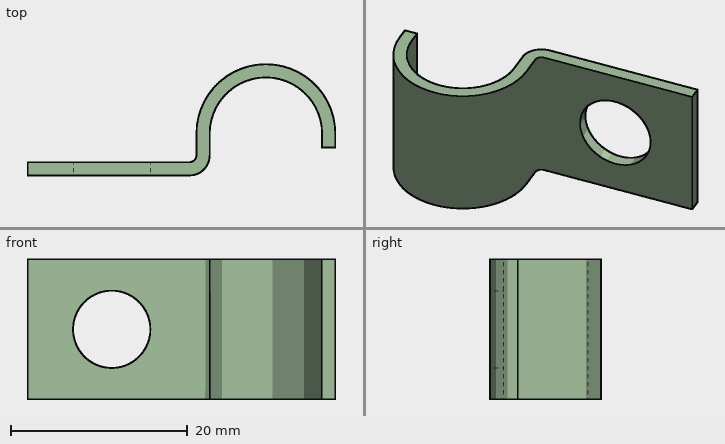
import cadquery as cq

length = 34.85
depth = 12.62
width = 15.88

thickness = 1.524
loop_inner_radius = 6.35
loop_outer_radius = loop_inner_radius + thickness
bend_inner_radius = 0.762
bend_outer_radius = bend_inner_radius + thickness
free_leg_length = 1.57

hole_diameter = 8.73
hole_from_tab_end = 9.525

tab_end_x = loop_outer_radius - length
tab_front_y = loop_outer_radius - depth
tab_back_y = tab_front_y + thickness
bend_center_x = -loop_outer_radius - bend_inner_radius
bend_center_y = tab_back_y + bend_inner_radius


def make_strip():
    """Bent strip: flat tab, quarter bend, straight riser, half loop and short free leg."""
    return (
        cq.Workplane("XY")
        .workplane(offset=-width / 2)
        .moveTo(tab_end_x, tab_front_y)
        .lineTo(bend_center_x, tab_front_y)
        .radiusArc((-loop_inner_radius, bend_center_y), -bend_outer_radius)
        .lineTo(-loop_inner_radius, 0)
        .threePointArc((0, loop_inner_radius), (loop_inner_radius, 0))
        .lineTo(loop_inner_radius, -free_leg_length)
        .lineTo(loop_outer_radius, -free_leg_length)
        .lineTo(loop_outer_radius, 0)
        .threePointArc((0, loop_outer_radius), (-loop_outer_radius, 0))
        .lineTo(-loop_outer_radius, bend_center_y)
        .radiusArc((bend_center_x, tab_back_y), bend_inner_radius)
        .lineTo(tab_end_x, tab_back_y)
        .close()
        .extrude(width)
    )


def make_hole_cutter():
    """Round bar that passes through the tab along Y at mid width."""
    return (
        cq.Workplane("XZ", origin=(tab_end_x + hole_from_tab_end, tab_back_y, 0))
        .circle(hole_diameter / 2)
        .extrude(thickness)
    )


result = make_strip().cut(make_hole_cutter())